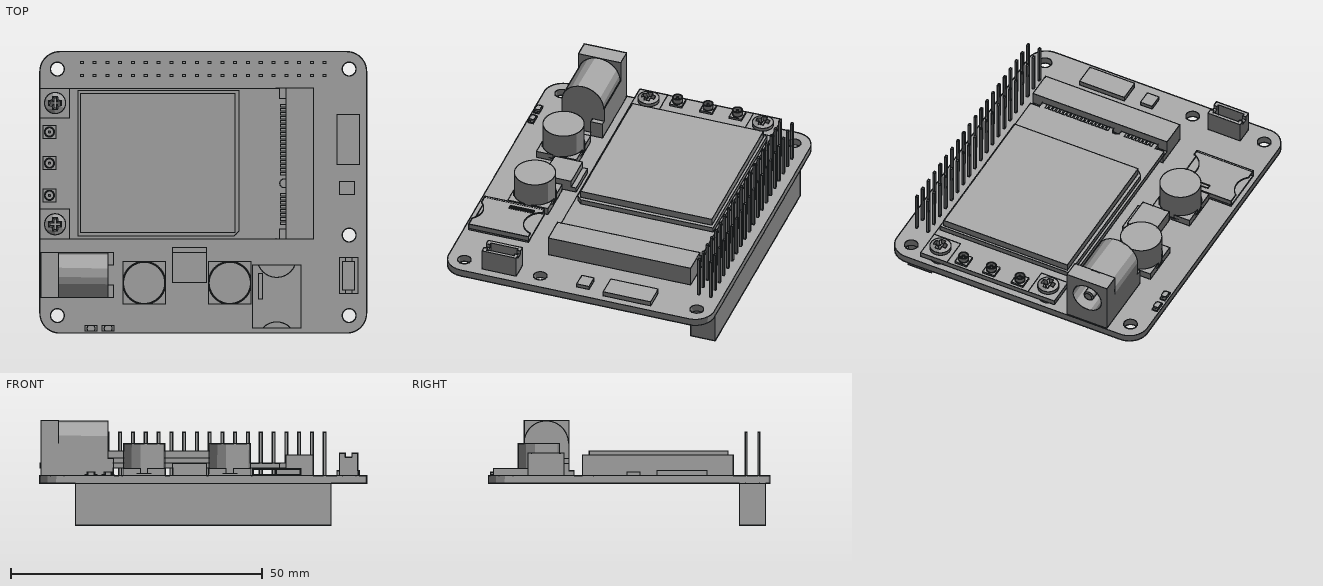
import cadquery as cq
import math


BOARD_X = 65.0
BOARD_Y = 56.0
BOARD_T = 1.5
BOARD_CORNER_R = 4.0
MOUNT_D = 2.7
MOUNT_INSET = 3.5
EXTRA_MOUNT_Y = 19.5

PIN_PITCH = 2.54
PIN_COLUMNS = 20
PIN_ROWS = 2
PIN_X = 0.6
PIN_Y = 0.4
PIN_HEIGHT = 8.65
HEADER_CENTER_X = BOARD_X / 2
HEADER_CENTER_Y = BOARD_Y - MOUNT_INSET
HEADER_X = PIN_COLUMNS * PIN_PITCH
HEADER_Y = 5.2
HEADER_DROP = 8.35

CARD_LEFT = 0.05
CARD_X = 50.95
CARD_Y = 29.9
CARD_T = 1.0
CARD_BOTTOM = 1.5
CARD_TOP = CARD_BOTTOM + CARD_T
CARD_CENTER_Y = 33.7
CARD_FRONT = CARD_CENTER_Y - CARD_Y / 2
CARD_BACK = CARD_CENTER_Y + CARD_Y / 2
CARD_RIGHT = CARD_LEFT + CARD_X
TONGUE_START = 47.7
TONGUE_Y = 25.9
KEY_D = 1.7
KEY_CENTER_Y = 29.8
FOIL_T = 0.03
CONTACT_PITCH = 0.8
CONTACT_WIDTH = 0.5
CONTACT_GROUPS = ((21.9, 8), (31.65, 18))
CONTACT_START = 47.85
GROUND_PAD = 5.9

FRAME_LEFT = 7.6
FRAME_RIGHT = 39.6
FRAME_FRONT = 19.3
FRAME_BACK = 48.2
FRAME_T = 1.0
FRAME_CHAMFER = 1.0
LID_LEFT = 8.1
LID_RIGHT = 38.8
LID_FRONT = 20.0
LID_BACK = 47.65
LID_T = 1.45

ANTENNA_X = 1.93
ANTENNA_YS = (27.4, 33.8, 40.0)
ANTENNA_BASE = 2.6
ANTENNA_BASE_T = 0.4
ANTENNA_D = 2.0
ANTENNA_BORE = 1.7
ANTENNA_PIN_D = 0.4
ANTENNA_HEIGHT = 1.5

SCREW_X = 3.05
SCREW_SPACING = 24.1
SCREW_YS = (CARD_CENTER_Y - SCREW_SPACING / 2, CARD_CENTER_Y + SCREW_SPACING / 2)
STANDOFF_D = 4.0
SHANK_D = 2.6
HEAD_D = 4.2
HEAD_RIM_T = 0.7
HEAD_T = 1.25
CROSS_LENGTH = 2.8
CROSS_WIDTH = 1.2
CROSS_DEPTH = 1.0
CROSS_TAPER = 20

SOCKET_LEFT = 48.9
SOCKET_RIGHT = 54.4
SOCKET_Y = 30.0
SOCKET_HEIGHT = 4.15
JAW_LEFT = 47.0

JACK_LEFT = 0.25
JACK_Y = 8.95
JACK_FRONT = 7.1
JACK_FLANGE_X = 3.5
JACK_HEIGHT = 11.0
JACK_BODY_RIGHT = 13.6
JACK_AXIS_Z = 6.5
JACK_BARREL_D = 8.8
JACK_AXIS_Y = JACK_FRONT + JACK_BARREL_D / 2
JACK_HOLE_D = 6.3
JACK_HOLE_DEPTH = 9.5
JACK_PIN_D = 2.1
JACK_PIN_TIP_D = 1.6
JACK_PIN_RECESS = 0.4
JACK_FOOT_X = 1.05
JACK_FOOT_Y = 2.5
JACK_FOOT_HEIGHT = 3.45

INDUCTOR_XS = (20.75, 37.78)
INDUCTOR_Y = 10.0
INDUCTOR_D = 8.2
INDUCTOR_HEIGHT = 6.4
INDUCTOR_BASE = 8.45
INDUCTOR_BASE_T = 1.48
INDUCTOR_FLOOR_T = 0.45
INDUCTOR_RECESS_D = 8.57

SIM_LEFT = 42.25
SIM_FRONT = 1.0
SIM_X = 9.7
SIM_Y = 12.6
SIM_HEIGHT = 1.45
SIM_SHEET = 0.2
SIM_BACK_ARC_R = 3.9
SIM_BACK_ARC_DEPTH = 2.5
SIM_FRONT_ARC_R = 3.7
SIM_FRONT_ARC_DEPTH = 1.25
SIM_SLOT = (43.45, 6.8, 44.3, 11.9)

REGULATOR = (26.4, 10.1, 33.15, 16.0)
REGULATOR_HEIGHT = 2.4
REGULATOR_TAB_Y = 1.05
REGULATOR_TAB_T = 1.0
LARGE_CHIP = (59.05, 33.5, 63.55, 43.5)
LARGE_CHIP_T = 1.0
SMALL_CHIP = (59.55, 27.55, 62.55, 30.15)
SMALL_CHIP_T = 0.75
LED_XS = (10.2, 13.6)
LED_Y = 0.95
LED_X_SIZE = 2.4
LED_Y_SIZE = 1.1
LED_BASE_T = 0.25
LED_LENS_D = 1.57
LED_LENS_T = 0.45

PLUG = (59.55, 7.85, 63.25, 15.05)
PLUG_HEIGHT = 4.5
PLUG_SIDE_WALL = 0.65
PLUG_END_WALL = 0.75
PLUG_DEPTH = 3.5
PLUG_NOTCH_X = 1.3
PLUG_NOTCH_DEPTH = 0.8


def block(left, front, right, back, bottom, top):
    """Box between two opposite corners."""
    size = (right - left, back - front, top - bottom)
    return cq.Workplane().box(*size, centered=False).translate((left, front, bottom))


def centered_block(x, y, size_x, size_y, bottom, top):
    """Box centred on a point of the board."""
    return block(x - size_x / 2, y - size_y / 2, x + size_x / 2, y + size_y / 2, bottom, top)


def upright(x, y, diameter, bottom, top):
    """Vertical cylinder."""
    return cq.Workplane().center(x, y).circle(diameter / 2).extrude(top - bottom).translate((0, 0, bottom))


def along_x(diameter, left, right):
    """Cylinder on the axis of the power jack."""
    axis = cq.Workplane("YZ", origin=(left, JACK_AXIS_Y, JACK_AXIS_Z))
    return axis.circle(diameter / 2).extrude(right - left)


def make_bare_board():
    board = block(0, 0, BOARD_X, BOARD_Y, -BOARD_T, 0).edges("|Z").fillet(BOARD_CORNER_R)
    right = BOARD_X - MOUNT_INSET
    back = BOARD_Y - MOUNT_INSET
    holes = [(MOUNT_INSET, MOUNT_INSET), (right, MOUNT_INSET), (MOUNT_INSET, back), (right, back)]
    holes.append((right, EXTRA_MOUNT_Y))
    for x, y in holes:
        board = board.cut(upright(x, y, MOUNT_D, -BOARD_T, 0))
    return board


def make_header():
    bottom = -BOARD_T - HEADER_DROP
    header = centered_block(HEADER_CENTER_X, HEADER_CENTER_Y, HEADER_X, HEADER_Y, bottom, -BOARD_T)
    pins = (
        cq.Workplane()
        .center(HEADER_CENTER_X, HEADER_CENTER_Y)
        .rarray(PIN_PITCH, PIN_PITCH, PIN_COLUMNS, PIN_ROWS)
        .rect(PIN_X, PIN_Y)
        .extrude(PIN_HEIGHT)
    )
    return [header, pins]


def make_socket():
    """Edge socket: a tall bar with a lower jaw under the card."""
    front = CARD_CENTER_Y - SOCKET_Y / 2
    back = CARD_CENTER_Y + SOCKET_Y / 2
    socket = block(SOCKET_LEFT, front, SOCKET_RIGHT, back, 0, SOCKET_HEIGHT)
    jaw = block(JAW_LEFT, front, SOCKET_LEFT, back, 0, CARD_BOTTOM)
    return socket.union(jaw).cut(make_card_plate())


def make_standoff(y):
    standoff = upright(SCREW_X, y, STANDOFF_D, 0, CARD_BOTTOM)
    return standoff.cut(upright(SCREW_X, y, SHANK_D, 0, CARD_BOTTOM))


def make_jack():
    front = JACK_FRONT
    back = front + JACK_Y
    flange_right = JACK_LEFT + JACK_FLANGE_X
    jack = block(JACK_LEFT, front, flange_right, back, 0, JACK_HEIGHT)
    jack = jack.union(block(flange_right, front, JACK_BODY_RIGHT, back, 0, JACK_AXIS_Z))
    jack = jack.union(along_x(JACK_BARREL_D, flange_right, JACK_BODY_RIGHT))
    for foot_front in (front, back - JACK_FOOT_Y):
        foot = block(
            JACK_BODY_RIGHT, foot_front,
            JACK_BODY_RIGHT + JACK_FOOT_X, foot_front + JACK_FOOT_Y,
            0, JACK_FOOT_HEIGHT,
        )
        jack = jack.union(foot)
    hole_end = JACK_LEFT + JACK_HOLE_DEPTH
    pin = along_x(JACK_PIN_D, JACK_LEFT + JACK_PIN_RECESS, hole_end)
    pin = pin.faces("<X").chamfer((JACK_PIN_D - JACK_PIN_TIP_D) / 2)
    return jack.cut(along_x(JACK_HOLE_D, JACK_LEFT, hole_end)).union(pin)


def make_inductor(x):
    """Round coil in a square base whose round recess breaks through all four sides."""
    base = centered_block(x, INDUCTOR_Y, INDUCTOR_BASE, INDUCTOR_BASE, 0, INDUCTOR_BASE_T)
    base = base.cut(upright(x, INDUCTOR_Y, INDUCTOR_RECESS_D, INDUCTOR_FLOOR_T, INDUCTOR_BASE_T))
    return base.union(upright(x, INDUCTOR_Y, INDUCTOR_D, INDUCTOR_FLOOR_T, INDUCTOR_HEIGHT))


def make_sim_holder():
    """Sheet-metal tunnel open at front and back, with finger cut-outs and a slot in its lid."""
    right = SIM_LEFT + SIM_X
    back = SIM_FRONT + SIM_Y
    center_x = SIM_LEFT + SIM_X / 2
    lid_bottom = SIM_HEIGHT - SIM_SHEET
    holder = block(SIM_LEFT, SIM_FRONT, right, back, 0, SIM_HEIGHT)
    holder = holder.cut(
        block(SIM_LEFT + SIM_SHEET, SIM_FRONT, right - SIM_SHEET, back, SIM_SHEET, lid_bottom)
    )
    front_y = SIM_FRONT + SIM_FRONT_ARC_DEPTH - SIM_FRONT_ARC_R
    back_y = back - SIM_BACK_ARC_DEPTH + SIM_BACK_ARC_R
    holder = holder.cut(upright(center_x, front_y, 2 * SIM_FRONT_ARC_R, lid_bottom, SIM_HEIGHT))
    holder = holder.cut(upright(center_x, back_y, 2 * SIM_BACK_ARC_R, lid_bottom, SIM_HEIGHT))
    return holder.cut(block(*SIM_SLOT, lid_bottom, SIM_HEIGHT))


def make_regulator():
    left, _, right, back = REGULATOR
    body = block(*REGULATOR, 0, REGULATOR_HEIGHT)
    return body.union(block(left, back, right, back + REGULATOR_TAB_Y, 0, REGULATOR_TAB_T))


def make_led(x):
    """Flat base with a round lens trimmed to the width of the base."""
    led = centered_block(x, LED_Y, LED_X_SIZE, LED_Y_SIZE, 0, LED_BASE_T)
    top = LED_BASE_T + LED_LENS_T
    lens = upright(x, LED_Y, LED_LENS_D, LED_BASE_T, top)
    lens = lens.intersect(centered_block(x, LED_Y, LED_X_SIZE, LED_Y_SIZE, LED_BASE_T, top))
    return led.union(lens)


def make_cable_connector():
    left, front, right, back = PLUG
    connector = block(*PLUG, 0, PLUG_HEIGHT)
    connector = connector.cut(
        block(
            left + PLUG_SIDE_WALL, front + PLUG_END_WALL,
            right - PLUG_SIDE_WALL, back - PLUG_END_WALL,
            PLUG_HEIGHT - PLUG_DEPTH, PLUG_HEIGHT,
        )
    )
    center = ((left + right) / 2, (front + back) / 2)
    notch_bottom = PLUG_HEIGHT - PLUG_NOTCH_DEPTH
    return connector.cut(centered_block(*center, PLUG_NOTCH_X, back - front, notch_bottom, PLUG_HEIGHT))


def make_board():
    """Bare board joined with everything soldered to it."""
    parts = make_header()
    parts += [make_socket(), make_jack(), make_sim_holder(), make_regulator(), make_cable_connector()]
    parts.append(block(*LARGE_CHIP, 0, LARGE_CHIP_T))
    parts.append(block(*SMALL_CHIP, 0, SMALL_CHIP_T))
    parts += [make_standoff(y) for y in SCREW_YS]
    parts += [make_inductor(x) for x in INDUCTOR_XS]
    parts += [make_led(x) for x in LED_XS]
    board = make_bare_board()
    for part in parts:
        board = board.union(part)
    return board


def make_card_plate():
    """Card outline with the narrower contact tongue and its round-ended key slot."""
    tongue_front = CARD_CENTER_Y - TONGUE_Y / 2
    tongue_back = CARD_CENTER_Y + TONGUE_Y / 2
    plate = block(CARD_LEFT, CARD_FRONT, TONGUE_START, CARD_BACK, CARD_BOTTOM, CARD_TOP)
    plate = plate.union(
        block(TONGUE_START, tongue_front, CARD_RIGHT, tongue_back, CARD_BOTTOM, CARD_TOP)
    )
    key_x = TONGUE_START + KEY_D / 2
    key = upright(key_x, KEY_CENTER_Y, KEY_D, CARD_BOTTOM, CARD_TOP)
    key_front = KEY_CENTER_Y - KEY_D / 2
    key_back = KEY_CENTER_Y + KEY_D / 2
    key = key.union(block(key_x, key_front, CARD_RIGHT, key_back, CARD_BOTTOM, CARD_TOP))
    return plate.cut(key)


def make_antenna_connector(y):
    tip = CARD_TOP + ANTENNA_HEIGHT
    base_top = CARD_TOP + ANTENNA_BASE_T
    ring = upright(ANTENNA_X, y, ANTENNA_D, base_top, tip)
    ring = ring.cut(upright(ANTENNA_X, y, ANTENNA_BORE, base_top, tip))
    base = centered_block(ANTENNA_X, y, ANTENNA_BASE, ANTENNA_BASE, CARD_TOP, base_top)
    return base.union(ring).union(upright(ANTENNA_X, y, ANTENNA_PIN_D, base_top, tip))


def make_card():
    card = make_card_plate()
    foil_top = CARD_TOP + FOIL_T
    pad_right = CARD_LEFT + GROUND_PAD
    for pad_front in (CARD_FRONT, CARD_BACK - GROUND_PAD):
        card = card.union(
            block(CARD_LEFT, pad_front, pad_right, pad_front + GROUND_PAD, CARD_TOP, foil_top)
        )
    for first_y, count in CONTACT_GROUPS:
        for i in range(count):
            front = first_y + i * CONTACT_PITCH - CONTACT_WIDTH / 2
            contact = block(
                CONTACT_START, front, SOCKET_LEFT, front + CONTACT_WIDTH, CARD_TOP, foil_top
            )
            card = card.union(contact)
    frame_top = CARD_TOP + FRAME_T
    frame = block(FRAME_LEFT, FRAME_FRONT, FRAME_RIGHT, FRAME_BACK, CARD_TOP, frame_top)
    frame = frame.edges("|Z and >X and <Y").chamfer(FRAME_CHAMFER)
    lid = block(LID_LEFT, LID_FRONT, LID_RIGHT, LID_BACK, frame_top, frame_top + LID_T)
    card = card.union(frame).union(lid)
    for y in ANTENNA_YS:
        card = card.union(make_antenna_connector(y))
    for y in SCREW_YS:
        card = card.cut(upright(SCREW_X, y, SHANK_D, CARD_BOTTOM, foil_top))
    return card


def make_screw(y):
    """Screw with a domed head and a tapered cross recess; it fills the card hole and the standoff."""
    radius = HEAD_D / 2
    dome_rise = HEAD_T - HEAD_RIM_T
    dome_radius = (radius**2 + dome_rise**2) / (2 * dome_rise)
    halfway = math.asin(radius / dome_radius) / 2
    dome_middle = (
        dome_radius * math.sin(halfway),
        HEAD_T - dome_radius * (1 - math.cos(halfway)),
    )
    head = (
        cq.Workplane("XZ")
        .lineTo(radius, 0)
        .lineTo(radius, HEAD_RIM_T)
        .threePointArc(dome_middle, (0, HEAD_T))
        .close()
        .revolve(360, (0, 0, 0), (0, 1, 0))
    )
    for size in ((CROSS_LENGTH, CROSS_WIDTH), (CROSS_WIDTH, CROSS_LENGTH)):
        recess = cq.Workplane(origin=(0, 0, HEAD_T)).rect(*size).extrude(-CROSS_DEPTH, taper=CROSS_TAPER)
        head = head.cut(recess)
    seat = CARD_TOP + FOIL_T
    shank = upright(SCREW_X, y, SHANK_D, 0, seat)
    return head.translate((SCREW_X, y, seat)).union(shank)


board = make_board()
card = make_card()
screws = [make_screw(y) for y in SCREW_YS]

result = cq.Compound.makeCompound([board.val(), card.val(), *[screw.val() for screw in screws]])